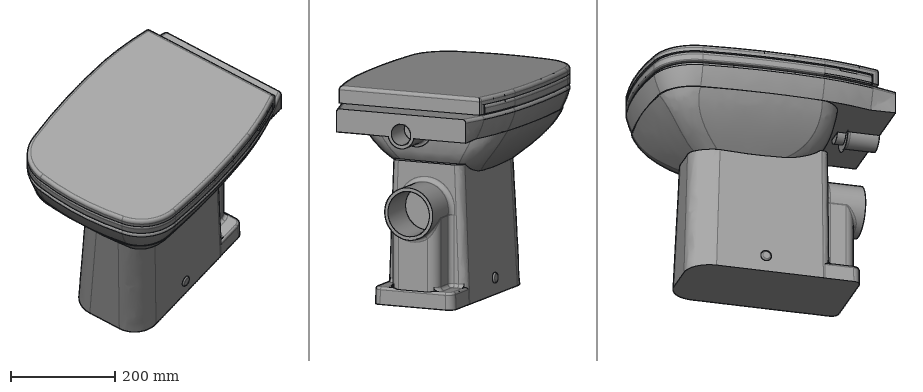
import cadquery as cq
import math


SHELF_Z = 340.0
RIM_SIDE_Z = 379.0
RIM_Z = 385.5
SEAT_BOTTOM_Z = 387.5
SEAT_TOP_Z = 408.0
TOP_Z = 422.04
SKIRT_BOTTOM_Z = 389.0

WIDTH = 349.47
BACK_HALF = 137.0
NECK_SLOPE = 0.315
BOWL_NECK_Y = -49.5
LID_NECK_Y = -43.0
SHOULDER_HALF, SHOULDER_Y = 170.7, -151.0
MAX_HALF, WIDEST_Y = WIDTH / 2, -253.7
CORNER_HALF, CORNER_Y = 167.3, -393.0
NOSE_HALF, NOSE_Y = 95.8, -470.0
FRONT_Y = -478.94
FLANK_BULGE = 2.2
CORNER_FULLNESS = 0.67

BELLY_Z, BELLY_INSET = 364.0, 5.0
SHELF_INSET = 16.5
FRONT_INSET_SHARE = 0.8
SIDE_BOW = 0.024
FRONT_BOW = 0.038
BACK_BOW = 0.02
FRONT_TAPER = 1.5

RIM_ROUND = RIM_Z - RIM_SIDE_Z - 0.01
LID_ROUND = 7.0
SEAT_TOP_ROUND = 7.0
SEAT_LOWER_ROUND = 2.5

LID_BACK_Y = -37.7
SKIRT_FRONT_Y = -49.5
SEAT_BACK_Y = -51.5

DRAFT = math.tan(math.radians(2.25))
FOOT_HALF = 85.1
TOE_Y = -392.5
TOE_RADIUS = 50.5
HEEL_Y = -114.0
HEEL_RADIUS = 15.0
PEDESTAL_HEIGHT = 272.0

FOOT_BACK_Y = -53.2
FOOT_HEIGHT = 34.0
FOOT_STEP = 0.4
FOOT_EDGE_ROUND = 5.0
COLUMN_HALF = 50.0
COLUMN_BACK_Y = -54.3
COLUMN_RADIUS = 19.5
FOOT_BLEND = 7.0
SLAB_SIZE = (800.0, 2000.0)
OUTLET_Z, OUTLET_Y = 185.0, -34.5
OUTLET_DIAMETER, OUTLET_BORE = 102.0, 88.0
OUTLET_BLEND = 9.0
COLUMN_BLEND = 7.0
INLET_Z = 345.5
INLET_DIAMETER, INLET_BORE = 55.0, 41.0
INLET_LENGTH = 58.0
INLET_FLARE = 7.0
SPIGOT_END_Y = -82.0

NEAR = 0.1

CAP_DIAMETER, CAP_TOP_DIAMETER, CAP_HEIGHT = 21.0, 15.0, 3.5
CAP_Y, CAP_Z = -243.0, 32.5


def corner_middle(side, front):
    """Middle point of a rounded corner running from a side point to a front point."""
    return (front[0] + CORNER_FULLNESS * (side[0] - front[0]),
            side[1] + CORNER_FULLNESS * (front[1] - side[1]))


def mirrored(point):
    return (-point[0], point[1])


def mirrored_spans(steps, start):
    """Spans of the +X half and of its mirror image, both in the order they join up.

    Each step is an (end,) line or a (middle, end) arc, following on from the start point.
    """
    right = []
    here = start
    for step in steps:
        right.append((here, *step))
        here = step[-1]
    left = [tuple(mirrored(p) for p in reversed(span)) for span in reversed(right)]
    return right, left


def edge(z, span):
    points = [cq.Vector(x, y, z) for x, y in span]
    if len(points) == 2:
        return cq.Edge.makeLine(*points)
    return cq.Edge.makeThreePointArc(*points)


def closed_wire(z, right, front, left, back):
    return cq.Wire.assembleEdges([edge(z, span) for span in [*right, front, *left, back]])


def rim_wire(z, back_y=0.0, neck_y=BOWL_NECK_Y, side_inset=0.0):
    """Outline of rim, seat and lid; side_inset draws it in below the rim."""
    front_inset = FRONT_INSET_SHARE * side_inset
    neck = (BACK_HALF - NECK_SLOPE * neck_y - side_inset, neck_y)
    slope = (neck[0] - BACK_HALF) / neck_y
    shoulder = (SHOULDER_HALF - side_inset, SHOULDER_Y)
    widest = (MAX_HALF - side_inset, WIDEST_Y)
    corner = (CORNER_HALF - side_inset, CORNER_Y)
    nose = (NOSE_HALF, NOSE_Y + front_inset)
    middle = (0.0, FRONT_Y + front_inset)
    flank = ((neck[0] + shoulder[0]) / 2 + FLANK_BULGE, (neck_y + SHOULDER_Y) / 2)
    right = [(flank, shoulder), (widest, corner), (corner_middle(corner, nose), nose)]
    if back_y > neck_y:
        start = (BACK_HALF + slope * back_y, back_y)
        right.insert(0, (neck,))
    else:
        start = (neck[0], back_y)
    spans, mirror = mirrored_spans(right, start)
    return closed_wire(z, spans, (nose, middle, mirrored(nose)), mirror, (mirrored(start), start))


def bowl_wire(z, half, back_y, front_y, side_back_y, side_front_y, back_half, front_half):
    """Rounded outline of the bowl below the shelf, with slightly bowed sides, back and front."""
    bow_side = SIDE_BOW * half
    bow_front = FRONT_BOW * half
    bow_back = BACK_BOW * half
    rear = (half - bow_side, side_back_y)
    corner = (half - FRONT_TAPER * bow_side, side_front_y)
    tail = (back_half, back_y - bow_back)
    nose = (front_half, front_y + bow_front)
    right = [(corner_middle(rear, tail), rear),
             ((half, (side_back_y + side_front_y) / 2), corner),
             (corner_middle(corner, nose), nose)]
    spans, mirror = mirrored_spans(right, tail)
    front = (nose, (0.0, front_y), mirrored(nose))
    back = (mirrored(tail), (0.0, back_y), tail)
    return closed_wire(z, spans, front, mirror, back)


def drafted_block(half, back_y, back_radius, front_y, front_radius, height):
    """Rounded block whose sides and front lean inwards with the draft; its back is upright."""
    def section(z):
        lean = DRAFT * z
        length = back_y - front_y - lean
        profile = (cq.Sketch().push([(0, back_y - length / 2)]).rect(2 * (half - lean), length).reset()
                   .vertices(">Y").fillet(back_radius).reset().vertices("<Y").fillet(front_radius))
        return profile.moved(cq.Location(cq.Vector(0, 0, z)))
    return cq.Workplane().placeSketch(section(0), section(height)).loft()


def y_cylinder(diameter, z, start_y, end_y):
    """Cylinder on the symmetry plane, running forward from start_y to end_y."""
    plane = cq.Plane((0, start_y, z), (1, 0, 0), (0, -1, 0))
    return cq.Workplane(plane).circle(diameter / 2).extrude(start_y - end_y)


def make_basin():
    """Rim with its rear shelf, the curved band under the rim and the rounded bowl below the shelf."""
    rim = cq.Solid.extrudeLinear(rim_wire(RIM_SIDE_Z), [], cq.Vector(0, 0, RIM_Z - RIM_SIDE_Z))
    rim = cq.Workplane(rim).faces(">Z").edges("not >Y").fillet(RIM_ROUND)
    band = cq.Solid.makeLoft([rim_wire(RIM_SIDE_Z),
                              rim_wire(BELLY_Z, side_inset=BELLY_INSET),
                              rim_wire(SHELF_Z, side_inset=SHELF_INSET)])
    belly = cq.Solid.makeLoft([
        bowl_wire(SHELF_Z, half=158.2, back_y=-104.6, front_y=-465.7,
                  side_back_y=-151, side_front_y=-393, back_half=105, front_half=94),
        bowl_wire(300, half=130.5, back_y=-111, front_y=-436,
                  side_back_y=-152, side_front_y=-387, back_half=82, front_half=90),
        bowl_wire(272, half=104, back_y=-126, front_y=-408,
                  side_back_y=-166, side_front_y=-366, back_half=62, front_half=68),
        bowl_wire(246, half=75.5, back_y=-170, front_y=-372,
                  side_back_y=-205, side_front_y=-335, back_half=42, front_half=44),
    ])
    return rim.union(cq.Workplane(band)).union(cq.Workplane(belly))


def edges_within(solid, x_range, y_range, z_range):
    """Edges of a solid whose middle lies inside the given box."""
    low, high = zip(x_range, y_range, z_range)
    return solid.edges(cq.selectors.BoxSelector(low, high))


def make_column():
    """Upright column at the back carrying the outlet pipe, blended where the pipe overhangs it."""
    inner_y = 2 * HEEL_Y
    column = (cq.Workplane().center(0, (COLUMN_BACK_Y + inner_y) / 2)
              .rect(2 * COLUMN_HALF, COLUMN_BACK_Y - inner_y).extrude(OUTLET_Z)
              .edges("|Z and >Y").fillet(COLUMN_RADIUS))
    outlet = y_cylinder(OUTLET_DIAMETER, OUTLET_Z, OUTLET_Y, inner_y)
    pipe_radius = OUTLET_DIAMETER / 2
    corner_y = COLUMN_BACK_Y - COLUMN_RADIUS
    overhang = edges_within(column.union(outlet), (-pipe_radius, pipe_radius), (corner_y, OUTLET_Y - NEAR),
                            (OUTLET_Z - pipe_radius, OUTLET_Z - COLUMN_RADIUS))
    return overhang.fillet(COLUMN_BLEND)


def foot_block(inset, height):
    half = FOOT_HALF - FOOT_STEP - inset
    return drafted_block(half, FOOT_BACK_Y - inset, HEEL_RADIUS - inset, 2 * HEEL_Y, HEEL_RADIUS, height)


def make_foot_blend(upright):
    """Cove on top of the foot, running around the column and along the back of the pedestal."""
    floor_slab = cq.Workplane().box(*SLAB_SIZE, FOOT_HEIGHT, centered=(True, True, False))
    corner = edges_within(upright.union(floor_slab), (-FOOT_HALF, FOOT_HALF), (TOE_Y, 0),
                          (FOOT_HEIGHT - NEAR, FOOT_HEIGHT + NEAR))
    return corner.fillet(FOOT_BLEND).intersect(foot_block(FOOT_EDGE_ROUND, FOOT_HEIGHT + FOOT_BLEND))


def make_pedestal():
    pedestal = drafted_block(FOOT_HALF, HEEL_Y, HEEL_RADIUS, TOE_Y, TOE_RADIUS, PEDESTAL_HEIGHT)
    seam_half = OUTLET_DIAMETER / 2 + NEAR
    seam = edges_within(pedestal.union(make_column()), (-seam_half, seam_half), (HEEL_Y - NEAR, HEEL_Y + NEAR),
                        (NEAR, PEDESTAL_HEIGHT - NEAR))
    upright = seam.fillet(OUTLET_BLEND)
    foot = foot_block(0, FOOT_HEIGHT).faces(">Z").edges().fillet(FOOT_EDGE_ROUND)
    return upright.union(foot).union(make_foot_blend(upright))


def make_inlet_flare():
    """Collar flaring out in a quarter round at the inner end of the inlet pipe."""
    pipe_radius = INLET_DIAMETER / 2
    rim_radius = pipe_radius + INLET_FLARE
    end = -INLET_LENGTH - INLET_FLARE
    diagonal = math.sqrt(0.5) * INLET_FLARE
    profile = (cq.Workplane("YZ").moveTo(-INLET_LENGTH, 0).lineTo(-INLET_LENGTH, pipe_radius)
               .threePointArc((-INLET_LENGTH - diagonal, rim_radius - diagonal), (end, rim_radius))
               .lineTo(end, 0).close())
    return profile.revolve(360, (0, 0, 0), (1, 0, 0)).translate((0, 0, INLET_Z))


def make_bowl():
    bowl = make_pedestal().union(make_basin())
    inlet = y_cylinder(INLET_DIAMETER, INLET_Z, 0, -INLET_LENGTH)
    spigot = y_cylinder(INLET_BORE, INLET_Z, 0, SPIGOT_END_Y)
    bowl = bowl.union(inlet).union(make_inlet_flare()).union(spigot)
    outlet_bore = y_cylinder(OUTLET_BORE, OUTLET_Z, OUTLET_Y, HEEL_Y)
    inlet_bore = y_cylinder(INLET_BORE, INLET_Z, 0, -INLET_LENGTH)
    return bowl.cut(outlet_bore).cut(inlet_bore)


def make_seat():
    wire = rim_wire(SEAT_BOTTOM_Z, back_y=SEAT_BACK_Y, neck_y=SEAT_BACK_Y)
    plate = cq.Solid.extrudeLinear(wire, [], cq.Vector(0, 0, SEAT_TOP_Z - SEAT_BOTTOM_Z))
    seat = cq.Workplane(plate)
    seat = seat.faces(">Z").edges().fillet(SEAT_TOP_ROUND)
    return seat.faces("<Z").edges().fillet(SEAT_LOWER_ROUND)


def make_lid():
    wire = rim_wire(SKIRT_BOTTOM_Z, back_y=LID_BACK_Y, neck_y=LID_NECK_Y)
    block = cq.Workplane(cq.Solid.extrudeLinear(wire, [], cq.Vector(0, 0, TOP_Z - SKIRT_BOTTOM_Z)))
    depth = SKIRT_FRONT_Y - FRONT_Y
    clearance = cq.Workplane().box(3 * MAX_HALF, 2 * depth, SEAT_TOP_Z - SKIRT_BOTTOM_Z,
                                   centered=(True, False, False))
    lid = block.cut(clearance.translate((0, SKIRT_FRONT_Y - 2 * depth, SKIRT_BOTTOM_Z)))
    return lid.faces(">Z").edges().fillet(LID_ROUND)


def make_cap(side):
    """Round cap standing square on the leaning pedestal side (+1 or -1 in X)."""
    centre = (side * (FOOT_HALF - DRAFT * CAP_Z), CAP_Y, CAP_Z)
    plane = cq.Plane(centre, (0, 1, 0), (side, 0, DRAFT))
    disc = cq.Workplane(plane).circle(CAP_DIAMETER / 2).extrude(CAP_HEIGHT)
    outer_edge = disc.edges(cq.selectors.DirectionMinMaxSelector(plane.zDir, True))
    return outer_edge.fillet((CAP_DIAMETER - CAP_TOP_DIAMETER) / 2)


bowl = make_bowl()
seat = make_seat()
lid = make_lid()
caps = [make_cap(side) for side in (-1, 1)]

result = cq.Compound.makeCompound([bowl.val(), seat.val(), lid.val(), *[cap.val() for cap in caps]])